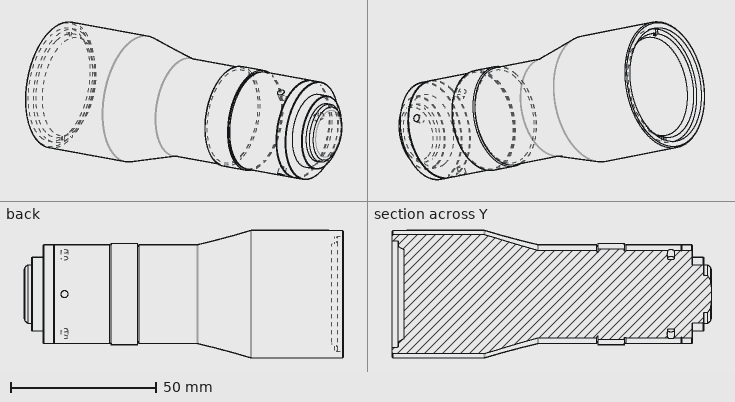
import cadquery as cq
import math

hood_end = 31.8
cone_end = 50.2
ring_start = 70.8
ring_end = 79.9
seam_x = 99.5
barrel_end = 103.3
mount_end = 107.2
tip_bevel_start = 108.6
length = 109.9

hood_radius = 22.0
barrel_radius = 17.0
ring_radius = 17.5
mount_radius = 12.7
tip_radius = 10.1
tip_bevel_end = 109.5
tip_bevel_radius = 9.2
tip_face_radius = 8.1

edge_break = 0.4
small_break = 0.2
cone_blend_radius = 1.3
ring_chamfer_depth = 0.8
neck_width = 0.5
neck_depth = 0.1
seam_depth = 0.2
seam_half_width = 0.16

bore_radius = 19.8
retainer_inner_radius = 18.1
glass_radius = 17.1
bore_depth = 2.1
glass_depth = 4.1

slot_width = 1.1
slot_depth = 1.1
slot_angle = -7.0

screw_x = 95.9
screw_diameter = 2.4
screw_depth = 2.7
screw_count = 3
first_screw_angle = 60.0


def revolve_about_x(points):
    """Revolve a closed (axial, radial) outline about the X axis."""
    return cq.Workplane("XY").polyline(points).close().revolve(360, (0, 0, 0), (1, 0, 0))


def make_body():
    body = revolve_about_x([
        (0, 0),
        (0, hood_radius - edge_break),
        (edge_break, hood_radius),
        (hood_end, hood_radius),
        (cone_end, barrel_radius),
        (ring_start - edge_break, barrel_radius),
        (ring_start, barrel_radius - ring_chamfer_depth),
        (ring_start, ring_radius),
        (ring_end, ring_radius),
        (ring_end, barrel_radius - neck_depth),
        (ring_end + neck_width, barrel_radius - neck_depth),
        (ring_end + neck_width, barrel_radius),
        (seam_x - seam_half_width, barrel_radius),
        (seam_x, barrel_radius - seam_depth),
        (seam_x + seam_half_width, barrel_radius),
        (barrel_end - small_break, barrel_radius),
        (barrel_end, barrel_radius - small_break),
        (barrel_end, mount_radius),
        (mount_end - small_break, mount_radius),
        (mount_end, mount_radius - small_break),
        (mount_end, tip_radius),
        (tip_bevel_start, tip_radius),
        (tip_bevel_end, tip_bevel_radius),
        (length, tip_face_radius),
        (length, 0),
    ])
    for station, radius in ((hood_end, hood_radius), (cone_end, barrel_radius)):
        corner = cq.selectors.BoxSelector(
            (station - edge_break, -2 * radius, -2 * radius),
            (station + edge_break, 2 * radius, 2 * radius),
            boundingbox=True,
        )
        body = body.edges(corner).fillet(cone_blend_radius)
    return body


def make_front_recess():
    return revolve_about_x([
        (0, 0),
        (0, bore_radius),
        (bore_depth, bore_radius),
        (bore_depth, retainer_inner_radius),
        (glass_depth, glass_radius),
        (glass_depth, 0),
    ])


def make_spanner_slots():
    """A bar across the bore; it cuts only the retaining ring on opposite sides."""
    bar = cq.Workplane("XY").box(slot_depth, slot_width, 2 * bore_radius, centered=(False, True, True))
    bore = cq.Workplane("YZ").circle(bore_radius).extrude(slot_depth)
    bar = bar.intersect(bore)
    return bar.rotate((0, 0, 0), (1, 0, 0), slot_angle).translate((bore_depth, 0, 0))


def make_screw_hole(angle):
    """Blind radial hole, the angle measured from -Y towards +Z."""
    inward = cq.Vector(0, math.cos(math.radians(angle)), -math.sin(math.radians(angle)))
    mouth = cq.Vector(screw_x, 0, 0) - inward * ring_radius
    depth = screw_depth + ring_radius - barrel_radius
    return cq.Workplane(cq.Solid.makeCylinder(screw_diameter / 2, depth, mouth, inward))


result = make_body().cut(make_front_recess()).cut(make_spanner_slots())
for index in range(screw_count):
    result = result.cut(make_screw_hole(first_screw_angle + index * 360 / screw_count))